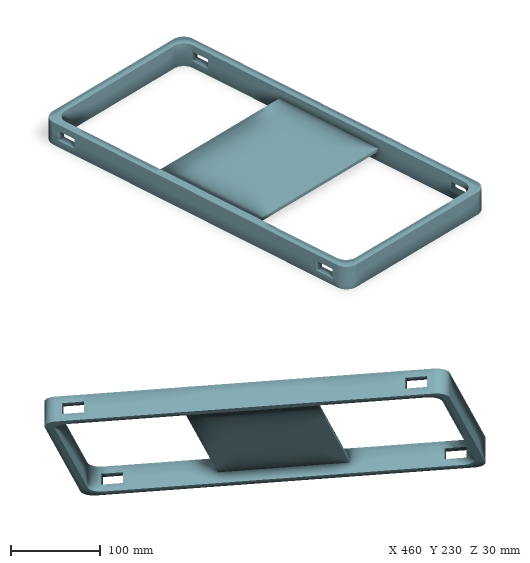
import cadquery as cq

length = 460.0
width = 230.0
height = 30.0
wall = 10.0
outer_radius = 15.0
inner_radius = 15.0

window_length = 25.0
window_height = 13.0
window_offset = 195.0

plate_length = 150.0
plate_thickness = 4.0


def make_plate():
    """Flat plate whose ends are flush with the outside of the long walls."""
    return cq.Workplane("XY").box(plate_length, width, plate_thickness)


def make_frame():
    """Ring with end windows and slots that fit the plate."""
    outside = cq.Workplane("XY").box(length, width, height).edges("|Z").fillet(outer_radius)
    opening = (
        cq.Workplane("XY")
        .box(length - 2 * wall, width - 2 * wall, height)
        .edges("|Z")
        .fillet(inner_radius)
    )
    windows = (
        cq.Workplane("XY")
        .pushPoints([(-window_offset, 0), (window_offset, 0)])
        .box(window_length, width, window_height)
    )
    slots = cq.Workplane("XY").box(plate_length, width, plate_thickness)
    return outside.cut(opening).cut(windows).cut(slots)


frame = make_frame()
plate = make_plate()

result = cq.Compound.makeCompound([frame.val(), plate.val()])